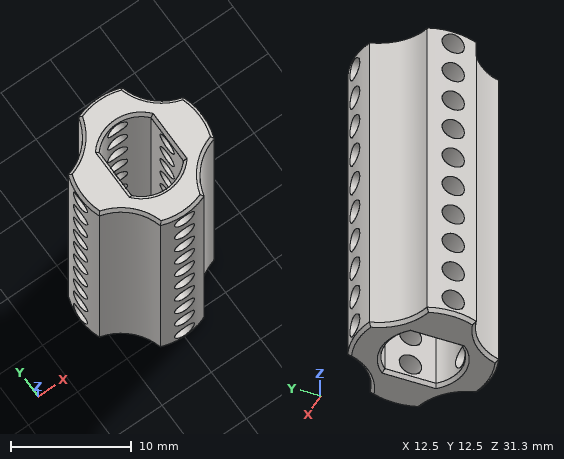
import cadquery as cq

LENGTH = 31.25
BODY_RADIUS = 6.25
FLUTE_RADIUS = 5.0
FLUTE_CENTRE_DISTANCE = 10.0
FLUTE_COUNT = 4

BORE_DIAMETER = 7.0
BORE_FLAT_SPACING = 5.25

HOLE_DIAMETER = 2.0
HOLE_COUNT = 10
HOLE_PITCH = LENGTH / HOLE_COUNT

CHAMFER = 0.3


def fluted_body():
    """Cylinder with the flutes centred on the diagonals, leaving lobes along X and Y."""
    cylinder = cq.Workplane("XY").circle(BODY_RADIUS).extrude(LENGTH)
    first_flute_angle = 180 / FLUTE_COUNT
    flutes = (
        cq.Workplane("XY")
        .polarArray(FLUTE_CENTRE_DISTANCE, first_flute_angle, 360, FLUTE_COUNT)
        .circle(FLUTE_RADIUS)
        .extrude(LENGTH)
    )
    return cylinder.cut(flutes)


def double_flat_bore():
    cylinder = cq.Workplane("XY").circle(BORE_DIAMETER / 2).extrude(LENGTH)
    between_flats = cq.Workplane("XY").rect(BORE_FLAT_SPACING, BORE_DIAMETER).extrude(LENGTH)
    return cylinder.intersect(between_flats)


def cross_hole_row(plane):
    """Row of holes spaced along Z, each running right through the body along the plane's normal."""
    centres = [(0, HOLE_PITCH * (index + 0.5)) for index in range(HOLE_COUNT)]
    return (
        cq.Workplane(plane)
        .pushPoints(centres)
        .circle(HOLE_DIAMETER / 2)
        .extrude(BODY_RADIUS, both=True)
    )


tube = fluted_body().cut(double_flat_bore())
tube = tube.faces("<Z or >Z").chamfer(CHAMFER)

for row_plane in ("XZ", "YZ"):
    tube = tube.cut(cross_hole_row(row_plane))

result = tube